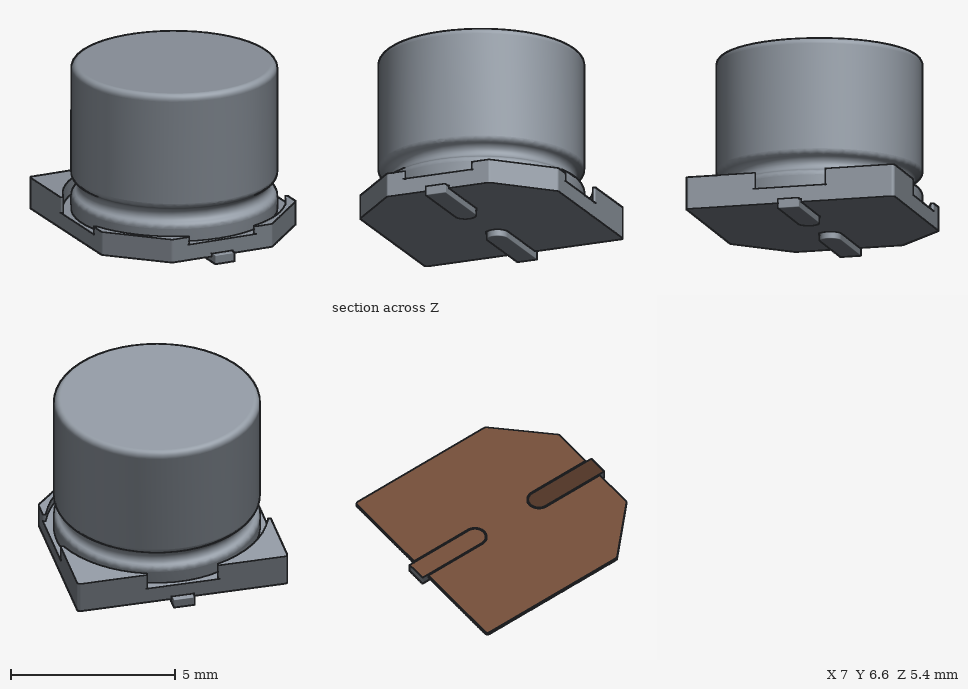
import cadquery as cq
import math

total_length = 7.0
total_height = 5.4

base_side = 6.6
base_bottom = 0.2
base_top = 1.2
base_corner_round = 0.1
cut_corner = 1.6
cut_corner_top = 0.945
well_radius = 3.4
well_floor = 0.7
well_tip_round = 0.05

can_radius = 3.15
can_edge_round = 0.2
crimp_radius = 0.25
crimp_height = 1.5

lead_width = 0.665
lead_top = 0.295
lead_gap = 1.79
lead_edge_round = 0.02
lead_side_clearance = 0.02


def lead_blank(width, height, inner_x):
    """Bar on the floor plane running to the +X end, with a half-round inner end."""
    end_radius = width / 2
    return (
        cq.Workplane("XY")
        .moveTo(total_length / 2, -end_radius)
        .lineTo(inner_x + end_radius, -end_radius)
        .threePointArc((inner_x, 0), (inner_x + end_radius, end_radius))
        .lineTo(total_length / 2, end_radius)
        .close()
        .extrude(height)
    )


def make_lead(angle):
    """One lead with softened edges, turned about Z to its side of the base."""
    lead = lead_blank(lead_width, lead_top, lead_gap / 2).edges().fillet(lead_edge_round)
    return lead.rotate((0, 0, 0), (0, 0, 1), angle)


def make_lead_recess(angle):
    """Underside recess for one lead, slightly wider than the lead."""
    recess = lead_blank(
        lead_width + 2 * lead_side_clearance,
        lead_top,
        lead_gap / 2 - lead_side_clearance,
    )
    return recess.rotate((0, 0, 0), (0, 0, 1), angle)


def round_well_tips(base):
    """Round the sharp wall ends where the well opens through the four sides."""
    half_side = base_side / 2
    tip_offset = math.sqrt(well_radius**2 - half_side**2)
    tip_height = (well_floor + cut_corner_top) / 2
    for along in (-tip_offset, tip_offset):
        for side in (-half_side, half_side):
            for x, y in ((along, side), (side, along)):
                nearest = cq.selectors.NearestToPointSelector((x, y, tip_height))
                base = base.edges("|Z").edges(nearest).fillet(well_tip_round)
    return base


def make_base(lead_angles):
    half_side = base_side / 2
    cut_start = half_side - cut_corner
    base = (
        cq.Workplane("XY")
        .workplane(offset=base_bottom)
        .polyline([
            (-half_side, -half_side),
            (cut_start, -half_side),
            (half_side, -cut_start),
            (half_side, cut_start),
            (cut_start, half_side),
            (-half_side, half_side),
        ])
        .close()
        .extrude(base_top - base_bottom)
        .edges("|Z")
        .fillet(base_corner_round)
    )

    lowered = cq.Workplane("XY").box(
        half_side, base_side, base_top - cut_corner_top, centered=(False, True, False)
    ).translate((0, 0, cut_corner_top))
    base = base.cut(lowered)

    well = cq.Workplane("XY").workplane(offset=well_floor).circle(well_radius).extrude(base_top - well_floor)
    base = round_well_tips(base.cut(well))

    for angle in lead_angles:
        base = base.cut(make_lead_recess(angle))
    return base


def make_can():
    can = cq.Workplane("XY").workplane(offset=well_floor).circle(can_radius).extrude(total_height - well_floor)

    crimp = (
        cq.Workplane("XZ")
        .center(can_radius, crimp_height)
        .circle(crimp_radius)
        .revolve(360, (-can_radius, 0, 0), (-can_radius, 1, 0))
    )
    can = can.cut(crimp)

    return can.edges("%CIRCLE").edges("not <Z").fillet(can_edge_round)


lead_angles = (0, 180)

base = make_base(lead_angles)
can = make_can()
leads = [make_lead(angle) for angle in lead_angles]

result = cq.Compound.makeCompound([base.val(), can.val(), *[lead.val() for lead in leads]])